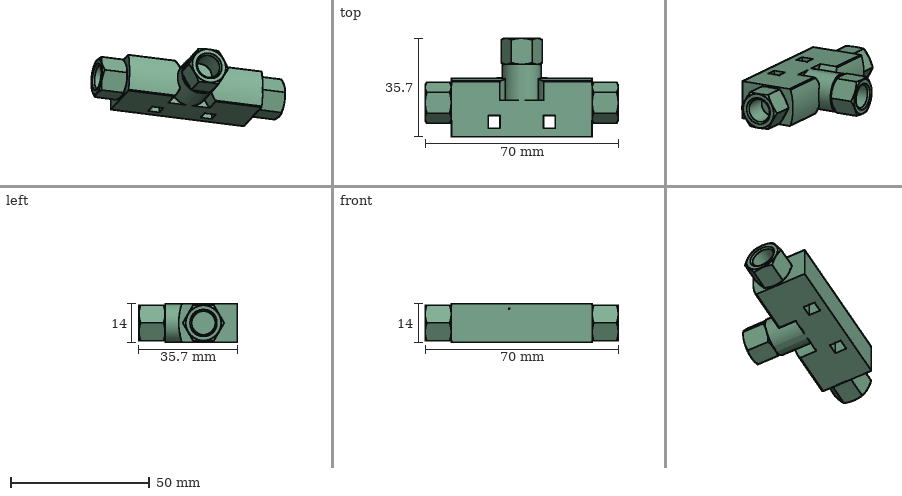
import cadquery as cq
import math

total_length = 70.0
total_depth = 35.7
body_height = 14.0
half_height = body_height / 2

nut_length = 9.5
nut_across_flats = 12.95
nut_across_corners = nut_across_flats / math.cos(math.radians(30))
nut_face_diameter = 12.75
nut_chamfer_angle = 30.0
bore_diameter = 8.55
bore_mouth_diameter = 9.8
bore_depth = nut_length
end_nut_y = 12.3

body_length = total_length - 2 * nut_length
body_depth = 21.3
back_radius = 22.4
back_edge_height = 0.3
back_edge_depth = 0.4

neck_diameter = 14.2
neck_end_y = total_depth - nut_length

relief_floor_y = 13.2
relief_half_width = 7.9
relief_wall_radius = 10.15

window_width = 4.2
window_depth = 4.5
window_spacing = 20.0
window_center_y = 5.4


def make_body():
    """Extrude the bulged side profile along X."""
    arc_end_z = half_height - back_edge_height
    arc_end_y = body_depth - back_radius + math.sqrt(back_radius**2 - arc_end_z**2)
    back_y = arc_end_y - back_edge_depth
    return (
        cq.Workplane("YZ", origin=(-body_length / 2, 0, 0))
        .moveTo(0, -half_height)
        .lineTo(back_y, -half_height)
        .lineTo(arc_end_y, -arc_end_z)
        .threePointArc((body_depth, 0), (arc_end_y, arc_end_z))
        .lineTo(back_y, half_height)
        .lineTo(0, half_height)
        .close()
        .extrude(body_length)
    )


def make_relief():
    """Waisted channel running along Y, open at the back of the body."""
    wall_center_x = relief_half_width + math.sqrt(relief_wall_radius**2 - half_height**2)
    waist_x = wall_center_x - relief_wall_radius
    return (
        cq.Workplane("XZ", origin=(0, relief_floor_y, 0))
        .moveTo(-relief_half_width, -half_height)
        .lineTo(relief_half_width, -half_height)
        .threePointArc((waist_x, 0), (relief_half_width, half_height))
        .lineTo(-relief_half_width, half_height)
        .threePointArc((-waist_x, 0), (-relief_half_width, -half_height))
        .close()
        .extrude(relief_floor_y - body_depth)
    )


def make_neck():
    """Round neck along Y, trimmed to the body height."""
    length = neck_end_y - relief_floor_y
    cylinder = (
        cq.Workplane("XZ", origin=(0, relief_floor_y, 0))
        .circle(neck_diameter / 2)
        .extrude(-length)
    )
    slab = cq.Workplane("XY").box(neck_diameter, 2 * total_depth, body_height)
    return cylinder.intersect(slab)


def make_nut():
    """Nut along +Z from its seat at Z = 0, with hexagon corners on the X axis."""
    corner_radius = nut_across_corners / 2
    face_radius = nut_face_diameter / 2
    chamfer_length = (corner_radius - face_radius) * math.tan(math.radians(nut_chamfer_angle))
    hexagon = cq.Workplane("XY").polygon(6, nut_across_corners).extrude(nut_length)
    envelope = (
        cq.Workplane("XZ")
        .moveTo(0, 0)
        .lineTo(face_radius, 0)
        .lineTo(corner_radius, chamfer_length)
        .lineTo(corner_radius, nut_length - chamfer_length)
        .lineTo(face_radius, nut_length)
        .lineTo(0, nut_length)
        .close()
        .revolve(360, (0, 0, 0), (0, 1, 0))
    )
    mouth_chamfer = (bore_mouth_diameter - bore_diameter) / 2
    bore = (
        cq.Workplane("XZ")
        .moveTo(0, nut_length - bore_depth)
        .lineTo(bore_diameter / 2, nut_length - bore_depth)
        .lineTo(bore_diameter / 2, nut_length - mouth_chamfer)
        .lineTo(bore_mouth_diameter / 2, nut_length)
        .lineTo(0, nut_length)
        .close()
        .revolve(360, (0, 0, 0), (0, 1, 0))
    )
    return hexagon.intersect(envelope).cut(bore)


def place_nut(seat, outward):
    """Put a nut on its seat, with hexagon corners in the XY plane."""
    corner_direction = cq.Vector(*outward).cross(cq.Vector(0, 0, 1))
    plane = cq.Plane(origin=seat, xDir=corner_direction, normal=outward)
    return cq.Workplane("XY").newObject([make_nut().val().moved(cq.Location(plane))])


windows = (
    cq.Workplane("XY")
    .pushPoints([(side * window_spacing / 2, window_center_y) for side in (-1, 1)])
    .rect(window_width, window_depth)
    .extrude(half_height, both=True)
)

result = make_body().cut(make_relief()).cut(windows).union(make_neck())
result = result.union(place_nut((0, neck_end_y, 0), (0, 1, 0)))
for side in (-1, 1):
    result = result.union(place_nut((side * body_length / 2, end_nut_y, 0), (side, 0, 0)))